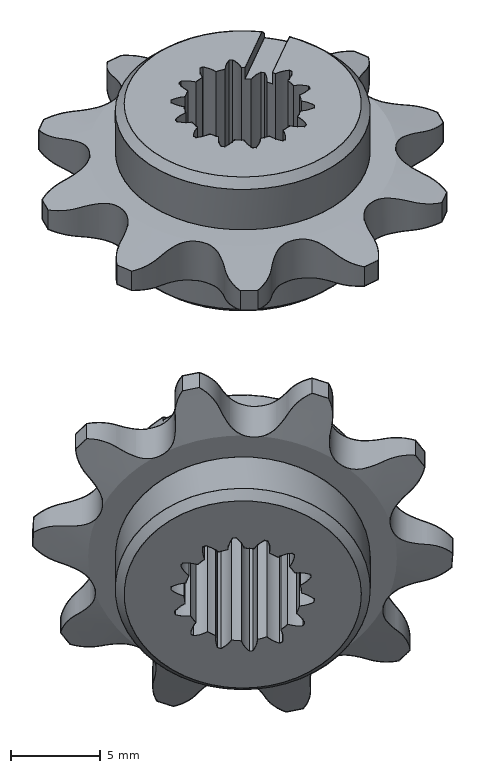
import cadquery as cq
import math

TOOTH_COUNT = 10
CHAIN_PITCH = 6.35
ROLLER_DIAMETER = 3.302
SEAT_CLEARANCE = 0.038
TIP_DIAMETER = 23.56
PLATE_THICKNESS = 2.79
TIP_THICKNESS = 1.38
FLAT_FACE_DIAMETER = 17.3

HUB_DIAMETER = 14.29
HUB_LENGTH = 9.53
HUB_CHAMFER = 0.5

GROOVE_COUNT = 14
BORE_RADIUS = 3.29
GROOVE_RADIUS = 4.03
GROOVE_MOUTH_WIDTH = 0.92
GROOVE_ROOT_WIDTH = 0.2
GROOVE_FLANK_BULGE = 0.06

SLOT_WIDTH = 1.6
SLOT_DEPTH = 0.8


def polar(radius, degrees, center=(0, 0)):
    """Point at a radius and direction from a center."""
    angle = math.radians(degrees)
    return (center[0] + radius * math.cos(angle), center[1] + radius * math.sin(angle))


def turned(point, degrees):
    """Point turned about the origin."""
    radius = math.hypot(*point)
    direction = math.degrees(math.atan2(point[1], point[0]))
    return polar(radius, direction + degrees)


def mirrored(point):
    """Point mirrored in the X axis."""
    return (point[0], -point[1])


def tooth_flank():
    """Points up the -Y flank of the tooth on the +X axis, from the middle of its gap to its tip.

    They are the ends and midpoints of a seating arc and a working arc, then, after a short
    tangent straight, the ends and midpoint of a topping arc.
    The coefficients and angles are the standard ones of the ANSI tooth form.
    """
    half_spacing = 180 / TOOTH_COUNT
    pitch_radius = CHAIN_PITCH / (2 * math.sin(math.radians(half_spacing)))
    roller_center = polar(pitch_radius, -half_spacing)

    seat_radius = 1.005 * ROLLER_DIAMETER / 2 + SEAT_CLEARANCE
    gap_direction = 180 - half_spacing
    seat_end_direction = 90 + (35 + 60 / TOOTH_COUNT) - half_spacing
    seat_middle_direction = (gap_direction + seat_end_direction) / 2

    working_offset = 0.8 * ROLLER_DIAMETER
    working_radius = seat_radius + working_offset
    working_center = polar(working_offset, seat_end_direction - 180, roller_center)
    working_sweep = 18 - 56 / TOOTH_COUNT
    working_end_direction = seat_end_direction - working_sweep

    topping_offset = 1.4 * ROLLER_DIAMETER
    topping_center = polar(topping_offset, 90, roller_center)
    topping_angle = math.radians(17 - 64 / TOOTH_COUNT)
    topping_radius = (
        working_offset * math.cos(math.radians(working_sweep))
        + topping_offset * math.cos(topping_angle)
        - working_radius
    )
    topping_start_direction = working_end_direction - 180

    tip_radius = TIP_DIAMETER / 2
    center_distance = math.hypot(*topping_center)
    center_direction = math.degrees(math.atan2(topping_center[1], topping_center[0]))
    reach = (center_distance**2 + topping_radius**2 - tip_radius**2) / (
        2 * center_distance * topping_radius
    )
    topping_end_direction = center_direction - 180 + math.degrees(math.acos(reach))
    topping_middle_direction = (topping_start_direction + topping_end_direction) / 2

    return [
        polar(seat_radius, gap_direction, roller_center),
        polar(seat_radius, seat_middle_direction, roller_center),
        polar(seat_radius, seat_end_direction, roller_center),
        polar(working_radius, seat_end_direction - working_sweep / 2, working_center),
        polar(working_radius, working_end_direction, working_center),
        polar(topping_radius, topping_start_direction, topping_center),
        polar(topping_radius, topping_middle_direction, topping_center),
        polar(topping_radius, topping_end_direction, topping_center),
    ]


def make_toothed_blank():
    """Prism with the full tooth outline, as thick as the plate."""
    up_flank = tooth_flank()
    down_flank = [mirrored(point) for point in reversed(up_flank)]
    tip_middle = (TIP_DIAMETER / 2, 0)

    outline = cq.Workplane("XY", origin=(0, 0, -PLATE_THICKNESS / 2)).moveTo(*up_flank[0])
    for tooth in range(TOOTH_COUNT):
        turn = tooth * 360 / TOOTH_COUNT
        up = [turned(point, turn) for point in up_flank]
        down = [turned(point, turn) for point in down_flank]
        outline = (
            outline.threePointArc(up[1], up[2])
            .threePointArc(up[3], up[4])
            .lineTo(*up[5])
            .threePointArc(up[6], up[7])
            .threePointArc(turned(tip_middle, turn), down[0])
            .threePointArc(down[1], down[2])
            .lineTo(*down[3])
            .threePointArc(down[4], down[5])
            .threePointArc(down[6], down[7])
        )
    return outline.close().extrude(PLATE_THICKNESS)


def make_taper_envelope():
    """Disc whose two faces taper toward each other, out to the tip circle and beyond."""
    flat_radius = FLAT_FACE_DIAMETER / 2
    tip_radius = TIP_DIAMETER / 2
    slope = (PLATE_THICKNESS - TIP_THICKNESS) / 2 / (tip_radius - flat_radius)
    rim_margin = 0.5
    rim_radius = tip_radius + rim_margin
    rim_half = TIP_THICKNESS / 2 - slope * rim_margin
    face_half = PLATE_THICKNESS / 2
    return (
        cq.Workplane("XZ")
        .polyline(
            [
                (0, -face_half),
                (flat_radius, -face_half),
                (rim_radius, -rim_half),
                (rim_radius, rim_half),
                (flat_radius, face_half),
                (0, face_half),
            ]
        )
        .close()
        .revolve(360, (0, 0, 0), (0, 1, 0))
    )


def make_hub():
    """Cylinder with both rims chamfered."""
    return (
        cq.Workplane("XY", origin=(0, 0, -HUB_LENGTH / 2))
        .circle(HUB_DIAMETER / 2)
        .extrude(HUB_LENGTH)
        .faces("<Z or >Z")
        .chamfer(HUB_CHAMFER)
    )


def make_bore_cutter():
    """Round bore with bow-sided spline grooves, one of them pointing along +Y."""
    mouth_half = GROOVE_MOUTH_WIDTH / 2
    root_half = GROOVE_ROOT_WIDTH / 2
    mouth_depth = math.sqrt(BORE_RADIUS**2 - mouth_half**2)
    root_depth = math.sqrt(GROOVE_RADIUS**2 - root_half**2)
    flank_middle = (
        (mouth_depth + root_depth) / 2,
        (mouth_half + root_half) / 2 + GROOVE_FLANK_BULGE,
    )
    mouth = (mouth_depth, mouth_half)
    root = (root_depth, root_half)
    groove_spacing = 360 / GROOVE_COUNT

    outline = cq.Workplane("XY", origin=(0, 0, -HUB_LENGTH / 2))
    outline = outline.moveTo(*turned(mirrored(mouth), 90))
    for groove in range(GROOVE_COUNT):
        turn = 90 + groove * groove_spacing
        outline = (
            outline.threePointArc(turned(mirrored(flank_middle), turn), turned(mirrored(root), turn))
            .threePointArc(polar(GROOVE_RADIUS, turn), turned(root, turn))
            .threePointArc(turned(flank_middle, turn), turned(mouth, turn))
            .threePointArc(
                polar(BORE_RADIUS, turn + groove_spacing / 2),
                turned(mirrored(mouth), turn + groove_spacing),
            )
        )
    return outline.close().extrude(HUB_LENGTH)


def make_slot_cutter():
    """Block from the bore axis out through the +Y side of the hub."""
    return (
        cq.Workplane("XY", origin=(0, HUB_DIAMETER / 2, HUB_LENGTH / 2))
        .rect(SLOT_WIDTH, HUB_DIAMETER)
        .extrude(-SLOT_DEPTH)
    )


plate = make_toothed_blank().intersect(make_taper_envelope())
result = plate.union(make_hub()).cut(make_bore_cutter()).cut(make_slot_cutter())